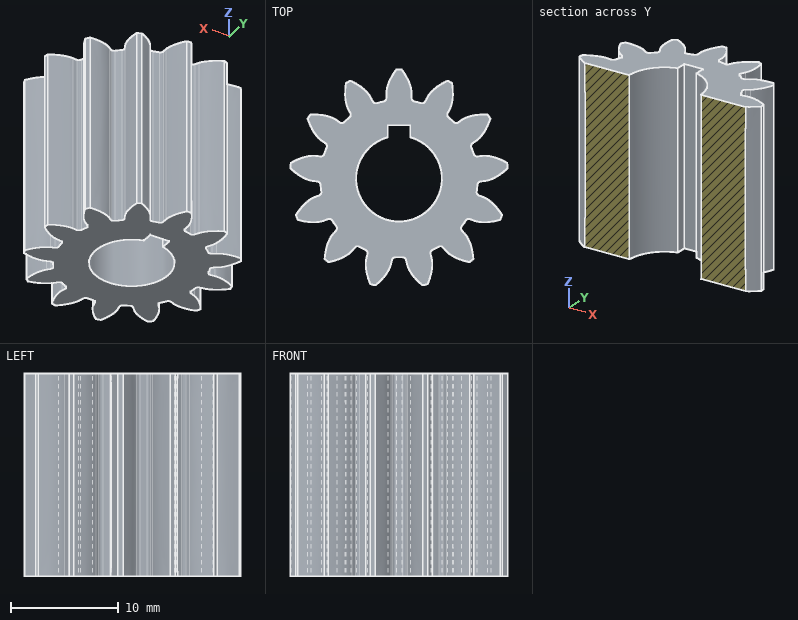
import cadquery as cq
import math

TOOTH_COUNT = 13
FACE_WIDTH = 19.0
OVERALL_WIDTH = 20.35
PITCH_DIAMETER = 16.51
PRESSURE_ANGLE = math.radians(14.5)
ROOT_RADIUS = 7.37
TIP_HALF_ANGLE = math.radians(1.4)
ROOT_FILLET = 0.33
TOOTH_SINK = 0.65
BORE_DIAMETER = 8.0
KEYWAY_WIDTH = 2.1
KEYWAY_TOP = 4.99
FLANK_STEPS = 6

TOOTH_PITCH = 2 * math.pi / TOOTH_COUNT
TIP_RADIUS = OVERALL_WIDTH / 2 / math.cos(TOOTH_PITCH / 4 - TIP_HALF_ANGLE)
BASE_RADIUS = PITCH_DIAMETER / 2 * math.cos(PRESSURE_ANGLE)
TIP_ROLL = math.sqrt((TIP_RADIUS / BASE_RADIUS) ** 2 - 1)
BASE_HALF_ANGLE = TIP_HALF_ANGLE + TIP_ROLL - math.atan(TIP_ROLL)


def involute_point(roll):
    """Point of the +X flank of the tooth on +Y, at a roll angle along its involute."""
    lean = BASE_HALF_ANGLE - roll
    x = BASE_RADIUS * (math.sin(lean) + roll * math.cos(lean))
    y = BASE_RADIUS * (math.cos(lean) - roll * math.sin(lean))
    return (x, y)


def right_flank():
    """Flank points from where the involute runs parallel to the tooth centreline, out to the tip."""
    first_roll = BASE_HALF_ANGLE
    roll_step = (TIP_ROLL - first_roll) / FLANK_STEPS
    return [involute_point(first_roll + step * roll_step) for step in range(FLANK_STEPS + 1)]


def make_tooth():
    """One tooth on +Y: involute flanks that run straight and parallel down to the root."""
    flank = right_flank()
    foot_x, flank_foot_y = flank[0]
    sunk_y = ROOT_RADIUS - TOOTH_SINK
    tip_lean = TIP_ROLL - BASE_HALF_ANGLE
    tip_direction = (-math.sin(tip_lean), math.cos(tip_lean))
    half_tip = TIP_HALF_ANGLE / 2
    tip_mid = (TIP_RADIUS * math.sin(half_tip), TIP_RADIUS * math.cos(half_tip))
    half_tooth = (
        cq.Workplane("XY")
        .moveTo(0, sunk_y)
        .lineTo(foot_x, sunk_y)
        .lineTo(foot_x, flank_foot_y)
        .spline(flank[1:], tangents=[(0, 1), tip_direction], includeCurrent=True)
        .threePointArc(tip_mid, (0, TIP_RADIUS))
        .close()
        .extrude(FACE_WIDTH)
    )
    return half_tooth.union(half_tooth.mirror("YZ")).clean()


def make_toothed_blank():
    """Root cylinder with all teeth, rounded where the flanks meet the root circle."""
    blank = cq.Workplane("XY").circle(ROOT_RADIUS).extrude(FACE_WIDTH)
    tooth = make_tooth()
    for index in range(TOOTH_COUNT):
        blank = blank.union(tooth.rotate((0, 0, 0), (0, 0, 1), math.degrees(index * TOOTH_PITCH)))
    radius_limit = (ROOT_RADIUS + BASE_RADIUS) / 2
    root_edges = blank.edges("|Z").filter(
        lambda edge: math.hypot(edge.Center().x, edge.Center().y) < radius_limit
    )
    return root_edges.fillet(ROOT_FILLET)


def make_keyed_bore():
    """Through bore with a square-cornered keyway on +Y."""
    bore = cq.Workplane("XY").circle(BORE_DIAMETER / 2).extrude(FACE_WIDTH)
    keyway = (
        cq.Workplane("XY")
        .center(0, KEYWAY_TOP / 2)
        .rect(KEYWAY_WIDTH, KEYWAY_TOP)
        .extrude(FACE_WIDTH)
    )
    return bore.union(keyway)


result = make_toothed_blank().cut(make_keyed_bore())